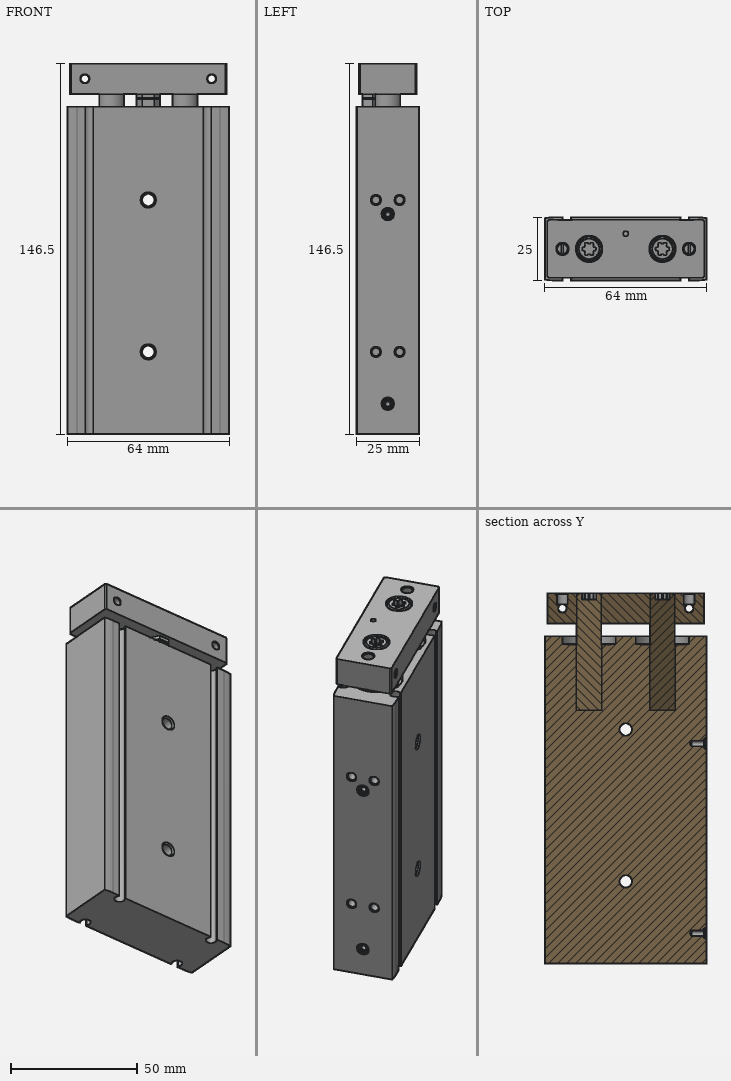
import cadquery as cq
import math

total_height = 146.5
plate_height = 12.0
plate_gap = 5.0
plate_bottom = total_height - plate_height
housing_height = plate_bottom - plate_gap

housing_width = 64.0
housing_depth = 25.0
front_face_y = -housing_depth / 2
crown_width = 3.7
crown_drop = 0.37
sensor_slot_x = 23.3
sensor_slot_opening = 3.2
sensor_slot_diameter = 4.1
sensor_slot_neck = 0.6

mount_heights = (32.5, 92.6)
through_diameter = 4.8
through_mouth_diameter = 6.2
side_hole_spacing = 9.4
side_hole_diameter = 3.2
side_hole_mouth_diameter = 4.1
side_hole_depth = 6.0

port_heights = (12.0, 87.0)
port_mouth_diameter = 5.0
port_diameter = 4.1
port_depth = 0.7
port_step_diameter = 3.2
port_step_depth = 1.2
port_drill_diameter = 2.0
port_drill_depth = 6.0
port_drill_angle = 118.0

rod_spacing = 29.0
rod_xs = (-rod_spacing / 2, rod_spacing / 2)
rod_diameter = 10.0
rod_insertion = 29.3
recess_diameter = 21.0
recess_depth = 3.1
inner_recess_diameter = 17.1
inner_recess_depth = 3.4

rod_end_diameter = 9.5
rod_end_tip_diameter = 8.0
seat_mouth_diameter = 10.5
socket_tip_diameter = 5.5
socket_core_diameter = 4.1
socket_lobe_diameter = 1.5
socket_lobes = 6
socket_depth = 2.5

plate_width = 62.0
plate_depth = 23.0
plate_chamfer = 0.6
plate_hole_x = 25.0
plate_hole_z = plate_bottom + plate_height / 2
cross_hole_diameter = 3.2
cross_hole_mouth_diameter = 3.7
top_hole_diameter = 4.1
top_hole_mouth_diameter = 5.0
top_hole_breakthrough = 0.05
top_hole_depth = (plate_height - cross_hole_diameter) / 2 + top_hole_breakthrough

bolt_y = 6.0
hex_flats = 8.0
hex_sides = 6
washer_face_diameter = 7.5
washer_face_height = 0.51
bolt_head_height = 3.0
bolt_head_top = housing_height + bolt_head_height
shank_diameter = 4.1
shank_engagement = 6.0
access_hole_diameter = 2.0


def disc(diameter, height):
    """Cylinder standing on the origin, along +Z."""
    return cq.Workplane("XY").circle(diameter / 2).extrude(height)


def hole(diameter, depth):
    """Cutter of a plain blind hole that goes down from the origin."""
    return disc(diameter, depth).translate((0, 0, -depth))


def cone(bottom_diameter, top_diameter, height):
    """Truncated or pointed cone standing on the origin, along +Z."""
    return cq.Workplane(cq.Solid.makeCone(bottom_diameter / 2, top_diameter / 2, height))


def mouth(hole_diameter, mouth_diameter):
    """45 degree chamfer cutter of a hole that opens upwards at the origin."""
    depth = (mouth_diameter - hole_diameter) / 2
    return cone(hole_diameter, mouth_diameter, depth).translate((0, 0, -depth))


def chamfered_hole(diameter, mouth_diameter, depth):
    """Cutter of a blind hole with a chamfered mouth that goes down from the origin."""
    return hole(diameter, depth).union(mouth(diameter, mouth_diameter))


def chamfered_through_hole(diameter, mouth_diameter, length):
    """Cutter of a through hole along Y, centred on the origin, with a chamfer at each end."""
    half = chamfered_hole(diameter, mouth_diameter, length / 2).translate((0, 0, length / 2))
    cutter = half.union(half.mirror("XY"))
    return cutter.rotate((0, 0, 0), (1, 0, 0), 90)


def from_left_side(cutter):
    """Turn an upward opening cutter so that it opens on the -X side of the housing."""
    return cutter.rotate((0, 0, 0), (0, 1, 0), -90).translate((-housing_width / 2, 0, 0))


def crowned_corner_cutter():
    """Sliver above the arc that lowers the front face towards the +X side."""
    side_x = housing_width / 2
    start_x = side_x - crown_width
    radius = (crown_width**2 + crown_drop**2) / (2 * crown_drop)
    half_angle = math.asin(crown_width / radius) / 2
    middle = (
        start_x + radius * math.sin(half_angle),
        front_face_y + radius * (1 - math.cos(half_angle)),
    )
    return (
        cq.Workplane("XY")
        .moveTo(start_x, front_face_y)
        .threePointArc(middle, (side_x, front_face_y + crown_drop))
        .lineTo(side_x, front_face_y)
        .close()
        .extrude(housing_height)
    )


def sensor_slot_cutter():
    """Round slot behind a straight, narrower neck in the front face."""
    radius = sensor_slot_diameter / 2
    half_opening = sensor_slot_opening / 2
    neck_y = front_face_y + sensor_slot_neck
    bottom_y = neck_y + math.sqrt(radius**2 - half_opening**2) + radius
    return (
        cq.Workplane("XY")
        .moveTo(sensor_slot_x - half_opening, front_face_y)
        .lineTo(sensor_slot_x - half_opening, neck_y)
        .threePointArc((sensor_slot_x, bottom_y), (sensor_slot_x + half_opening, neck_y))
        .lineTo(sensor_slot_x + half_opening, front_face_y)
        .close()
        .extrude(housing_height)
    )


def port_cutter():
    """Air port that narrows in two steps to a drilled hole with a pointed end."""
    point_height = port_drill_diameter / 2 / math.tan(math.radians(port_drill_angle / 2))
    point = cone(0, port_drill_diameter, point_height).translate((0, 0, -port_drill_depth - point_height))
    return (
        chamfered_hole(port_diameter, port_mouth_diameter, port_depth)
        .union(hole(port_step_diameter, port_step_depth))
        .union(hole(port_drill_diameter, port_drill_depth))
        .union(point)
    )


def rod_bore_cutter():
    """Stepped recess and blind rod bore, going down from the origin."""
    recess = hole(recess_diameter, recess_depth)
    inner_recess = hole(inner_recess_diameter, inner_recess_depth)
    bore = hole(rod_diameter, rod_insertion)
    return recess.union(inner_recess).union(bore)


def make_housing():
    body = cq.Workplane("XY").box(
        housing_width, housing_depth, housing_height, centered=(True, True, False)
    )
    for profile_cutter in (crowned_corner_cutter(), sensor_slot_cutter()):
        both_sides = profile_cutter.union(profile_cutter.mirror("YZ"))
        body = body.cut(both_sides).cut(both_sides.mirror("XZ"))
    through_hole = chamfered_through_hole(through_diameter, through_mouth_diameter, housing_depth)
    side_hole = from_left_side(
        chamfered_hole(side_hole_diameter, side_hole_mouth_diameter, side_hole_depth)
    )
    for z in mount_heights:
        body = body.cut(through_hole.translate((0, 0, z)))
        for y in (-side_hole_spacing / 2, side_hole_spacing / 2):
            body = body.cut(side_hole.translate((0, y, z)))
    for z in port_heights:
        body = body.cut(from_left_side(port_cutter()).translate((0, 0, z)))
    for x in rod_xs:
        body = body.cut(rod_bore_cutter().translate((x, 0, housing_height)))
    return body


def make_plate():
    plate = (
        cq.Workplane("XY")
        .box(plate_width, plate_depth, plate_height, centered=(True, True, False))
        .edges("|Z")
        .chamfer(plate_chamfer)
        .translate((0, 0, plate_bottom))
    )
    cross_hole = chamfered_through_hole(cross_hole_diameter, cross_hole_mouth_diameter, plate_depth)
    top_hole = chamfered_hole(top_hole_diameter, top_hole_mouth_diameter, top_hole_depth)
    for x in (-plate_hole_x, plate_hole_x):
        plate = plate.cut(cross_hole.translate((x, 0, plate_hole_z)))
        plate = plate.cut(top_hole.translate((x, 0, total_height)))
    seat = chamfered_hole(rod_end_diameter, seat_mouth_diameter, plate_height)
    for x in rod_xs:
        plate = plate.cut(seat.translate((x, 0, total_height)))
    shank_hole = disc(shank_diameter, shank_engagement)
    access_hole = disc(access_hole_diameter, plate_height)
    return plate.cut(shank_hole.union(access_hole).translate((0, bolt_y, plate_bottom)))


def socket_cutter():
    """Six-lobed driver socket that goes down from the origin."""
    lobe_centre = (socket_tip_diameter - socket_lobe_diameter) / 2
    lobes = (
        cq.Workplane("XY")
        .polarArray(lobe_centre, 0, 360, socket_lobes)
        .circle(socket_lobe_diameter / 2)
        .extrude(socket_depth)
    )
    return disc(socket_core_diameter, socket_depth).union(lobes).translate((0, 0, -socket_depth))


def make_rod(x):
    """Rod whose narrower, chamfered end passes through the plate and is flush with its top."""
    stem_bottom = housing_height - rod_insertion
    stem = disc(rod_diameter, plate_bottom - stem_bottom).translate((0, 0, stem_bottom))
    end = (
        disc(rod_end_diameter, plate_height)
        .faces(">Z")
        .chamfer((rod_end_diameter - rod_end_tip_diameter) / 2)
        .translate((0, 0, plate_bottom))
    )
    socket = socket_cutter().translate((0, 0, total_height))
    return stem.union(end).cut(socket).translate((x, 0, 0))


def hex_prism(height):
    """Hexagon standing on the origin, with two flats facing -Y and +Y."""
    corner_diameter = hex_flats / math.cos(math.pi / hex_sides)
    return cq.Workplane("XY").polygon(hex_sides, corner_diameter).extrude(height)


def make_stopper_bolt():
    head = hex_prism(bolt_head_height).translate((0, bolt_y, housing_height))
    shank_length = plate_bottom + shank_engagement - bolt_head_top
    shank = disc(shank_diameter, shank_length).translate((0, bolt_y, bolt_head_top))
    return head.union(shank)


def make_lock_nut():
    """Hexagon nut under the plate, with a round washer face towards the bolt head."""
    nut_height = plate_bottom - bolt_head_top
    washer_face = disc(washer_face_diameter, washer_face_height)
    hexagon = hex_prism(nut_height - washer_face_height).translate((0, 0, washer_face_height))
    nut = washer_face.union(hexagon).cut(disc(shank_diameter, nut_height))
    return nut.translate((0, bolt_y, bolt_head_top))


housing = make_housing()
plate = make_plate()
rods = [make_rod(x) for x in rod_xs]
stopper_bolt = make_stopper_bolt()
lock_nut = make_lock_nut()

result = cq.Compound.makeCompound(
    [housing.val(), plate.val(), *[rod.val() for rod in rods], stopper_bolt.val(), lock_nut.val()]
)